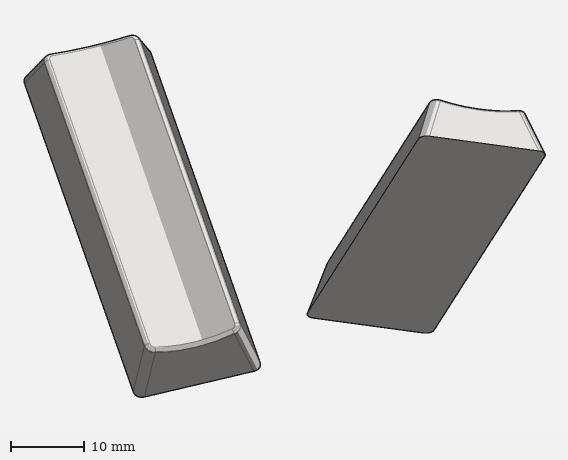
import cadquery as cq
import math

length = 56.1
width = 18.0
height = 7.35
draft_angle = 17.6
corner_radius = 1.3

dish_floor = 6.5
rim_radius = 0.65

blank_height = height + 2 * rim_radius


def dish_radius():
    """Scoop radius that makes the rounded long rims peak exactly at the part height."""
    draft = math.radians(draft_angle)
    rim_center_z = height - rim_radius
    rim_center_y = width / 2 - rim_center_z * math.tan(draft) - rim_radius / math.cos(draft)
    floor_rise = dish_floor - rim_center_z
    numerator = rim_center_y**2 + floor_rise**2 - rim_radius**2
    return numerator / (2 * (rim_radius - floor_rise))


def tapered_block():
    block = cq.Workplane("XY").rect(length, width).extrude(blank_height, taper=draft_angle)
    return block.edges("not #Z").fillet(corner_radius)


def dish_cutter():
    radius = dish_radius()
    return (
        cq.Workplane("YZ")
        .center(0, dish_floor + radius)
        .circle(radius)
        .extrude(length / 2, both=True)
    )


def rounded_rim(body):
    """Round every edge around the dish."""
    dish_point = cq.selectors.NearestToPointSelector((0, 0, dish_floor))
    return body.faces(dish_point).edges().fillet(rim_radius)


result = rounded_rim(tapered_block().cut(dish_cutter()))